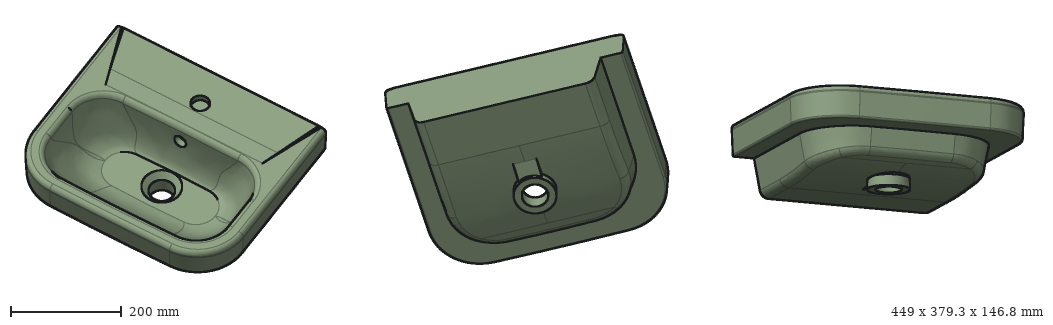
import cadquery as cq


WIDTH = 448.97
DEPTH = 379.29
HEIGHT = 146.8

DECK_RAISE = 1.3
RIM_TOP = -DECK_RAISE
RIM_BOTTOM = -62.0
RIM_BAND = 12.0
RIM_CORNER = 98.0
RIM_BOW = 3.0
RIM_ROUND = 10.0
SKIRT_TAPER = 2.6
SKIRT_ROUND = 4.0

OVERRUN = 80.0
EDGE_MARGIN = 1.0

DECK_BACK_HALF = 209.0
DECK_FRONT_HALF = 180.0
DECK_FRONT = -92.0
DECK_BASE_BACK_HALF = 214.0
DECK_BASE_FRONT_HALF = 168.0
DECK_BASE_FRONT = -126.0

BODY_HALF = 181.0
BODY_FRONT = -322.0
BODY_CORNER = 102.0
BODY_BOW = 5.0
BODY_TAPER = 11.0
BODY_BOTTOM = -134.6
BODY_EDGE_ROUND = 18.0
FOOT_TOP = -100.0
BELLY_FLAT_END = -97.0
BELLY_MIDDLE = (-200.0, -129.0)
BELLY_NOSE = (-285.0, -115.5)
BELLY_NOSE_SLOPE = (-1.0, 0.26)
BELLY_RUNOUT = (-100.0, 26.0)

BOWL_SECTIONS = [
    (RIM_TOP, 191.5, -137.0, -349.0, 68.0),
    (-35.0, 183.0, -139.0, -334.0, 74.0),
    (-65.0, 170.0, -143.0, -311.0, 80.0),
    (-90.0, 148.0, -151.0, -282.0, 62.0),
    (-104.0, 118.0, -163.0, -250.0, 42.0),
]
BOWL_BOW = 3.0
BOWL_LIP_ROUND = 11.0
BOWL_FLOOR = BOWL_SECTIONS[-1][0]

DRAIN_Y = -201.5
DRAIN_DIAMETER = 48.0
DRAIN_BOSS_DIAMETER = 77.5
DRAIN_COLLAR_DIAMETER = 88.0
DRAIN_COLLAR_TOP = -122.0
DRAIN_COLLAR_HEIGHT = 5.0
DRAIN_SEAT_DIAMETER = 74.0
DRAIN_SEAT_DEPTH = 12.0

OVERFLOW_DIAMETER = 25.0
OVERFLOW_Z = -39.0
OVERFLOW_BACK = -125.0
CHANNEL_WIDTH = 44.0
CHANNEL_START_Y = -132.0
CHANNEL_END_Y = -166.5
CHANNEL_START_Z = -133.6
CHANNEL_BOTTOM = -140.0
CHANNEL_ROOF = -125.0

TAP_DIAMETER = 35.0
TAP_Y = -71.5
TAP_DEPTH = 13.5


def d_outline(half, front, corner, bow):
    """D-shaped plan: straight sides, bowed front, running past the back plane."""
    side_front = front + bow
    return (
        cq.Sketch()
        .segment((-half, side_front), (-half, OVERRUN))
        .segment((half, OVERRUN))
        .segment((half, side_front))
        .arc((half, side_front), (0, front), (-half, side_front))
        .assemble()
        .vertices("<Y")
        .fillet(corner)
    )


def bowl_outline(half, back, front, corner):
    """Rounded rectangle with bowed front and back edges."""
    side_back = back - BOWL_BOW
    side_front = front + BOWL_BOW
    return (
        cq.Sketch()
        .segment((-half, side_front), (-half, side_back))
        .arc((-half, side_back), (0, back), (half, side_back))
        .segment((half, side_back), (half, side_front))
        .arc((half, side_front), (0, front), (-half, side_front))
        .assemble()
        .vertices()
        .fillet(corner)
    )


def behind_wall():
    """Everything behind the wall plane Y = 0."""
    size = 2 * WIDTH
    return cq.Workplane("XY").box(size, size, size).translate((0, size / 2, 0))


def make_rim():
    outline = d_outline(WIDTH / 2, -DEPTH, RIM_CORNER, RIM_BOW)
    band_bottom = RIM_TOP - RIM_BAND
    band = cq.Workplane("XY").workplane(offset=RIM_TOP).placeSketch(outline).extrude(-RIM_BAND)
    skirt = (
        cq.Workplane("XY")
        .workplane(offset=band_bottom)
        .placeSketch(outline)
        .extrude(RIM_BOTTOM - band_bottom, taper=SKIRT_TAPER)
    )
    band = band.faces(">Z").edges().fillet(RIM_ROUND)
    skirt = skirt.faces("<Z").edges().fillet(SKIRT_ROUND)
    return band.union(skirt).cut(behind_wall())


def runs_across(edge):
    """True for an edge that keeps one Y from side to side."""
    return edge.BoundingBox().ylen < EDGE_MARGIN


def make_body():
    """Tapered tub, trimmed by the side profile of its underside."""
    outline = d_outline(BODY_HALF, BODY_FRONT, BODY_CORNER, BODY_BOW)
    top = RIM_BOTTOM
    tub = (
        cq.Workplane("XY")
        .workplane(offset=top)
        .placeSketch(outline)
        .extrude(BODY_BOTTOM - top - OVERRUN, taper=BODY_TAPER)
    )
    profile = (
        cq.Workplane("YZ")
        .moveTo(OVERRUN, top)
        .lineTo(OVERRUN, BODY_BOTTOM)
        .lineTo(BELLY_FLAT_END, BODY_BOTTOM)
        .spline([BELLY_MIDDLE, BELLY_NOSE], [(-1, 0), BELLY_NOSE_SLOPE], includeCurrent=True)
        .line(*BELLY_RUNOUT)
        .lineTo(BELLY_NOSE[0] + BELLY_RUNOUT[0], top)
        .close()
        .extrude(BODY_HALF, both=True)
    )
    body = tub.intersect(profile)
    foot_edges = [
        edge for edge in body.edges().vals()
        if max(vertex.Z for vertex in edge.Vertices()) < FOOT_TOP and not runs_across(edge)
    ]
    return body.newObject(foot_edges).fillet(BODY_EDGE_ROUND).cut(behind_wall())


def make_deck():
    """Slightly raised tap deck with sloped side and front borders."""
    def trapezoid(work, back_half, front_half, front):
        return work.polyline(
            [(-back_half, 0), (back_half, 0), (front_half, front), (-front_half, front)]
        ).close()

    foot = cq.Workplane("XY").workplane(offset=RIM_TOP)
    foot = trapezoid(foot, DECK_BASE_BACK_HALF, DECK_BASE_FRONT_HALF, DECK_BASE_FRONT)
    top = foot.workplane(offset=DECK_RAISE)
    return trapezoid(top, DECK_BACK_HALF, DECK_FRONT_HALF, DECK_FRONT).loft(ruled=True)


def make_bowl():
    sections = []
    for z, half, back, front, corner in BOWL_SECTIONS:
        sketch = bowl_outline(half, back, front, corner)
        sections.append(sketch.moved(cq.Location(cq.Vector(0, 0, z))))
    return cq.Workplane("XY").placeSketch(*sections).loft()


def make_drain_boss():
    boss = (
        cq.Workplane("XY", origin=(0, DRAIN_Y, -HEIGHT))
        .circle(DRAIN_BOSS_DIAMETER / 2)
        .extrude(HEIGHT + BOWL_FLOOR - DRAIN_SEAT_DEPTH)
    )
    collar = (
        cq.Workplane("XY", origin=(0, DRAIN_Y, DRAIN_COLLAR_TOP))
        .circle(DRAIN_COLLAR_DIAMETER / 2)
        .workplane(offset=-DRAIN_COLLAR_HEIGHT)
        .circle(DRAIN_BOSS_DIAMETER / 2)
        .loft()
    )
    return boss.union(collar)


def make_channel():
    """Sloped bulge where the overflow channel runs into the drain boss."""
    return (
        cq.Workplane("YZ")
        .polyline(
            [
                (CHANNEL_START_Y, CHANNEL_ROOF),
                (CHANNEL_START_Y, CHANNEL_START_Z),
                (CHANNEL_END_Y, CHANNEL_BOTTOM),
                (DRAIN_Y, CHANNEL_BOTTOM),
                (DRAIN_Y, CHANNEL_ROOF),
            ]
        )
        .close()
        .extrude(CHANNEL_WIDTH / 2, both=True)
    )


def make_drain_hole():
    bore = (
        cq.Workplane("XY", origin=(0, DRAIN_Y, -HEIGHT))
        .circle(DRAIN_DIAMETER / 2)
        .extrude(HEIGHT + BOWL_FLOOR)
    )
    seat = (
        cq.Workplane("XY", origin=(0, DRAIN_Y, BOWL_FLOOR))
        .circle(DRAIN_SEAT_DIAMETER / 2)
        .workplane(offset=-DRAIN_SEAT_DEPTH)
        .circle(DRAIN_DIAMETER / 2)
        .loft()
    )
    return bore.union(seat)


def make_overflow_hole():
    length = OVERFLOW_BACK - DRAIN_Y
    return (
        cq.Workplane("XZ", origin=(0, OVERFLOW_BACK, OVERFLOW_Z))
        .circle(OVERFLOW_DIAMETER / 2)
        .extrude(length)
    )


def make_tap_hole():
    return cq.Workplane("XY", origin=(0, TAP_Y, 0)).circle(TAP_DIAMETER / 2).extrude(-TAP_DEPTH)


def round_bowl_lip(basin):
    """Round the edge where the bowl meets the level rim top."""
    _, half, back, front, _ = BOWL_SECTIONS[0]
    margin = EDGE_MARGIN
    around_opening = cq.selectors.BoxSelector(
        (-half - margin, front - margin, RIM_TOP - margin),
        (half + margin, back + margin, RIM_TOP + margin),
        boundingbox=True,
    )
    return basin.edges(around_opening).fillet(BOWL_LIP_ROUND)


basin = make_rim().union(make_body()).cut(make_bowl())
basin = round_bowl_lip(basin)
basin = basin.union(make_deck()).union(make_drain_boss()).union(make_channel())
result = basin.cut(make_drain_hole()).cut(make_overflow_hole()).cut(make_tap_hole())